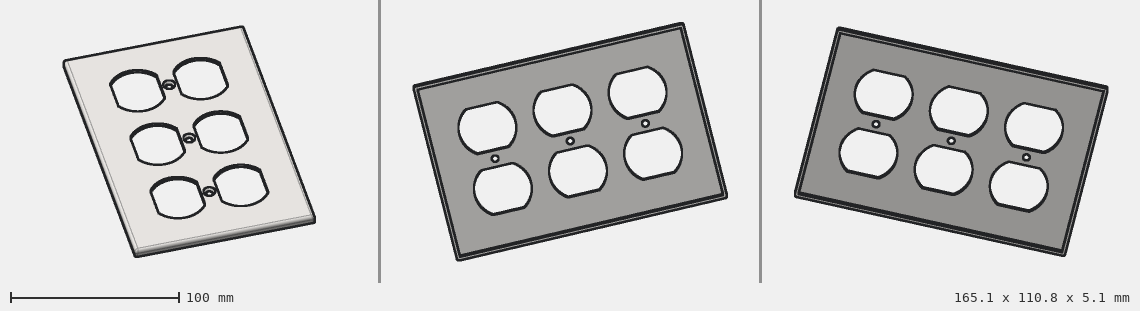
import cadquery as cq

length = 165.1
width = 110.8
height = 5.1
edge_radius = 2.1
corner_radius = 1.5
wall = 2.1

gang_count = 3
gang_pitch = 45.9
opening_diameter = 34.3
opening_height = 28.5
opening_pitch = 38.8

screw_diameter = 4.0
countersink_diameter = 7.1
countersink_angle = 82

gang_positions = [(i - (gang_count - 1) / 2) * gang_pitch for i in range(gang_count)]
opening_centers = [(x, side * opening_pitch / 2) for x in gang_positions for side in (-1, 1)]
screw_centers = [(x, 0) for x in gang_positions]


def make_plate():
    """Rounded plate with its underside hollowed to an even wall."""
    plate = cq.Workplane("XY").box(length, width, height, centered=(True, True, False))
    plate = plate.edges(">Z").fillet(edge_radius)
    plate = plate.edges("|Z").fillet(corner_radius)
    cavity = cq.Workplane("XY").box(
        length - 2 * wall, width - 2 * wall, height - wall, centered=(True, True, False)
    )
    return plate.cut(cavity)


def make_openings():
    """Cutters for all the receptacle openings."""
    circles = cq.Workplane("XY").pushPoints(opening_centers).circle(opening_diameter / 2).extrude(height)
    bands = cq.Workplane("XY").pushPoints(opening_centers).rect(opening_diameter, opening_height).extrude(height)
    return circles.intersect(bands)


result = (
    make_plate()
    .cut(make_openings())
    .faces(">Z")
    .workplane(origin=(0, 0, height))
    .pushPoints(screw_centers)
    .cskHole(screw_diameter, countersink_diameter, countersink_angle)
)